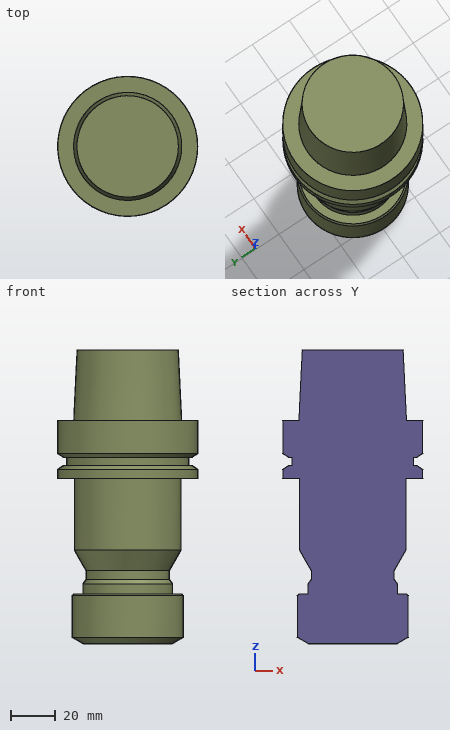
import cadquery as cq

total_height = 131.8
nut_chamfer_height = 2.9
nut_top = 22.4
nut_edge_break = 0.8
collar_top = 26.9
collar_chamfer_top = 28.9
neck_top = 32.8
cone_top = 42.0
flange_bottom = 74.1
lower_rim_top = 78.3
groove_bottom = 80.0
groove_top = 83.6
upper_rim_bottom = 85.3
flange_top = 100.2

nut_diameter = 50.0
nut_face_diameter = 40.0
collar_diameter = 40.3
neck_diameter = 37.5
body_diameter = 48.0
flange_diameter = 62.9
groove_diameter = 55.0
groove_mouth_inset = 2.6
taper_base_diameter = 48.5
taper_tip_diameter = 45.5

groove_edge_diameter = flange_diameter - 2 * groove_mouth_inset
profile = [
    (0, 0),
    (nut_face_diameter, 0),
    (nut_diameter, nut_chamfer_height),
    (nut_diameter, nut_top - nut_edge_break),
    (nut_diameter - 2 * nut_edge_break, nut_top),
    (collar_diameter, nut_top),
    (collar_diameter, collar_top),
    (neck_diameter, collar_chamfer_top),
    (neck_diameter, neck_top),
    (body_diameter, cone_top),
    (body_diameter, flange_bottom),
    (flange_diameter, flange_bottom),
    (flange_diameter, lower_rim_top),
    (groove_edge_diameter, groove_bottom),
    (groove_diameter, groove_bottom),
    (groove_diameter, groove_top),
    (groove_edge_diameter, groove_top),
    (flange_diameter, upper_rim_bottom),
    (flange_diameter, flange_top),
    (taper_base_diameter, flange_top),
    (taper_tip_diameter, total_height),
    (0, total_height),
]

result = (
    cq.Workplane("XZ")
    .polyline([(diameter / 2, height) for diameter, height in profile])
    .close()
    .revolve(360, (0, 0, 0), (0, 1, 0))
)